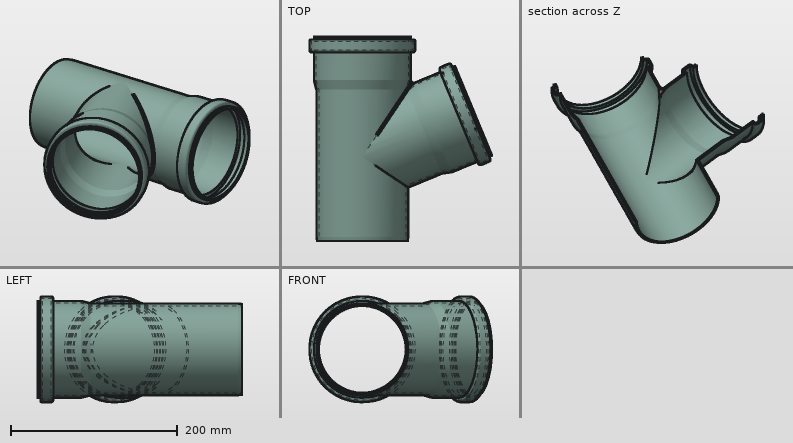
import cadquery as cq
import math

total_length = 245.5
pipe_radius = 110.2 / 2
bore_radius = 104.3 / 2
spigot_taper_length = 4.7
spigot_end_radius = 54.5

junction_y = 101.1
branch_tilt = 22.5
arm_length = total_length - junction_y

socket_radius = 116.4 / 2
socket_bore_radius = 111.2 / 2
taper_start_depth = 52.5
taper_end_depth = 64.0
lip_radius = 116.5 / 2
lip_depth = 1.5

collar_radius = 127.2 / 2
collar_near_depth = 3.5
collar_far_depth = 19.1
collar_wall = 2.7
collar_near_edge_radius = 2.7
collar_far_edge_radius = 3.5

web_reach = 107.8
web_thickness = 2.5
web_half_height = 55.0


def revolve_along_y(profile):
    return profile.close().revolve(360, (0, 0, 0), (0, 1, 0))


def cylinder_along_y(radius, start, end):
    return revolve_along_y(
        cq.Workplane("XY").moveTo(0, start).lineTo(radius, start).lineTo(radius, end).lineTo(0, end)
    )


def stepped_arm(narrow_radius, wide_radius):
    """Solid arm from the origin to the socket mouth, widening through the taper."""
    return revolve_along_y(
        cq.Workplane("XY")
        .lineTo(narrow_radius, 0)
        .lineTo(narrow_radius, arm_length - taper_end_depth)
        .lineTo(wide_radius, arm_length - taper_start_depth)
        .lineTo(wide_radius, arm_length)
        .lineTo(0, arm_length)
    )


def arm_outside():
    collar = cylinder_along_y(
        collar_radius, arm_length - collar_far_depth, arm_length - collar_near_depth
    )
    collar = collar.faces(">Y").edges().fillet(collar_near_edge_radius)
    collar = collar.faces("<Y").edges().fillet(collar_far_edge_radius)
    lip = cylinder_along_y(lip_radius, arm_length - lip_depth, arm_length)
    return stepped_arm(pipe_radius, socket_radius).union(collar).union(lip)


def arm_inside():
    seal_groove = cylinder_along_y(
        collar_radius - collar_wall,
        arm_length - collar_far_depth + collar_wall,
        arm_length - collar_near_depth - collar_wall,
    )
    return stepped_arm(bore_radius, socket_bore_radius).union(seal_groove)


def place_main(arm):
    return arm.translate((0, junction_y, 0))


def place_branch(arm):
    return place_main(arm.rotate((0, 0, 0), (0, 0, 1), branch_tilt - 90))


def spigot_outside():
    return revolve_along_y(
        cq.Workplane("XY")
        .lineTo(spigot_end_radius, 0)
        .lineTo(pipe_radius, spigot_taper_length)
        .lineTo(pipe_radius, junction_y)
        .lineTo(0, junction_y)
    )


def crotch_web():
    """Half-elliptical plate in the plane that bisects the two arms."""
    bisector = math.radians((90 + branch_tilt) / 2)
    plane = cq.Plane(
        origin=(0, junction_y, 0),
        xDir=(math.cos(bisector), math.sin(bisector), 0),
        normal=(math.sin(bisector), -math.cos(bisector), 0),
    )
    return (
        cq.Workplane(plane)
        .ellipseArc(web_reach, web_half_height, -90, 90, startAtCurrent=False)
        .close()
        .extrude(web_thickness / 2, both=True)
    )


outside = spigot_outside().union(place_main(arm_outside())).union(place_branch(arm_outside()))
outside = outside.union(crotch_web())
inside = cylinder_along_y(bore_radius, 0, junction_y)
inside = inside.union(place_main(arm_inside())).union(place_branch(arm_inside()))
result = outside.cut(inside)